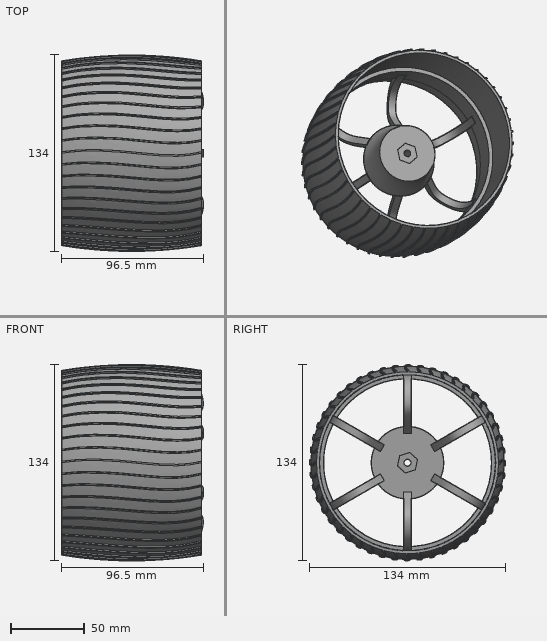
import cadquery as cq
import math


tyre_width = 95.3
tyre_bore_diameter = 120.0
crown_radius = 67.0
shoulder_radius = 63.0
tread_count = 48
tread_height = 1.0
tread_width = 1.0
tread_end_shift = 0.5
tread_crest = 2.0
tread_trough = -1.6
tread_crest_x = -tyre_width / 4
tread_trough_x = 0.28 * tyre_width

rim_start = 0.4
rim_width = 24.9
rim_end = rim_start + rim_width
rim_diameter = 119.8
rim_inner_diameter = 114.4
hub_radius = 24.8
hub_face_radius = 19.4
spoke_count = 6
spoke_width = 5.2
spoke_thickness = 4.0
spoke_bow_radius = 40.2
spoke_hub_angle = 28.0
spoke_rim_step = 0.3
spoke_hub_step = 0.4
spoke_hub_depth = 5.4
spoke_overhang = 1.2
spoke_root_x = rim_start + rim_width / 2

hex_corner_diameter = 14.3
hex_tilt = 12.0
axle_diameter = 4.5


def barrel(radius_offset):
    """Solid barrel of the tyre's width, its radius changed by radius_offset."""
    half_width = tyre_width / 2
    end_radius = shoulder_radius + radius_offset
    return (
        cq.Workplane("XY")
        .moveTo(-half_width, 0)
        .lineTo(-half_width, end_radius)
        .threePointArc((0, crown_radius + radius_offset), (half_width, end_radius))
        .lineTo(half_width, 0)
        .close()
        .revolve(360, (0, 0, 0), (1, 0, 0))
    )


def x_cylinder(diameter, start, length):
    """Cylinder along X from start."""
    return cq.Workplane("YZ", origin=(start, 0, 0)).circle(diameter / 2).extrude(length)


def make_tread_rib():
    """One rib on the +Z side: a wavy wall trimmed to the barrel."""
    half_width = tyre_width / 2
    wave = [
        (-half_width, tread_end_shift),
        (tread_crest_x, tread_crest),
        (0, tread_end_shift),
        (tread_trough_x, tread_trough),
        (half_width, tread_end_shift),
    ]
    near_side = [(x, y - tread_width / 2) for x, y in wave]
    far_side = [(x, y + tread_width / 2) for x, y in reversed(wave)]
    bore_radius = tyre_bore_diameter / 2
    wall = (
        cq.Workplane("XY", origin=(0, 0, bore_radius + tread_height))
        .moveTo(*near_side[0])
        .spline(near_side[1:], includeCurrent=True)
        .lineTo(*far_side[0])
        .spline(far_side[1:], includeCurrent=True)
        .close()
        .extrude(crown_radius - bore_radius)
    )
    return wall.intersect(barrel(0))


def make_tyre():
    sleeve = barrel(-tread_height).cut(x_cylinder(tyre_bore_diameter, -tyre_width / 2, tyre_width))
    rib = make_tread_rib().val()
    ribs = [
        rib.rotate(cq.Vector(0, 0, 0), cq.Vector(1, 0, 0), index * 360 / tread_count)
        for index in range(tread_count)
    ]
    return cq.Workplane(sleeve.val().fuse(*ribs).clean())


def make_rim():
    ring = x_cylinder(rim_diameter, rim_start, rim_width)
    return ring.cut(x_cylinder(rim_inner_diameter, rim_start, rim_width))


def make_hub():
    """Hub flaring along an arc from its small -X face; the arc starts parallel to X."""
    flare = hub_radius - hub_face_radius
    flare_arc_radius = (rim_width**2 + flare**2) / (2 * flare)
    return (
        cq.Workplane("XY")
        .moveTo(rim_start, 0)
        .lineTo(rim_start, hub_face_radius)
        .radiusArc((rim_end, hub_radius), -flare_arc_radius)
        .lineTo(rim_end, 0)
        .close()
        .revolve(360, (0, 0, 0), (1, 0, 0))
    )


def make_spoke():
    """Spoke on the +Z side: a strip from inside the hub, round past the tyre's end, to the rim."""
    bow_x = tyre_width / 2 + spoke_overhang - spoke_thickness
    hub_edge = cq.Vector(rim_end, 0, hub_radius - spoke_hub_step)
    bow = cq.Vector(bow_x, 0, spoke_bow_radius)
    rim_root = cq.Vector(spoke_root_x, 0, rim_inner_diameter / 2 - spoke_rim_step)
    slope = math.radians(spoke_hub_angle)
    hub_direction = cq.Vector(math.cos(slope), 0, math.sin(slope))
    spoke_start = hub_edge - hub_direction * spoke_hub_depth
    concave_edge = cq.Wire.assembleEdges([
        cq.Edge.makeLine(spoke_start, hub_edge),
        cq.Edge.makeSpline(
            [hub_edge, bow, rim_root],
            tangents=[hub_direction, cq.Vector(0, 0, 1), cq.Vector(-1, 0, 0)],
        ),
    ])
    start_plane = cq.Plane(origin=spoke_start, xDir=(0, 1, 0), normal=hub_direction)
    return (
        cq.Workplane(start_plane)
        .center(0, -spoke_thickness / 2)
        .rect(spoke_width, spoke_thickness)
        .sweep(cq.Workplane(concave_edge))
    )


def hex_prism():
    """Hexagonal prism through the hub."""
    return (
        cq.Workplane("YZ", origin=(rim_start, 0, 0))
        .transformed(rotate=(0, 0, 90 - hex_tilt))
        .polygon(6, hex_corner_diameter)
        .extrude(rim_width)
    )


def make_wheel():
    wheel = make_rim().union(make_hub())
    spoke = make_spoke()
    for index in range(spoke_count):
        wheel = wheel.union(spoke.rotate((0, 0, 0), (1, 0, 0), index * 360 / spoke_count))
    envelope = x_cylinder(rim_diameter, rim_start, tyre_width)
    return wheel.intersect(envelope).cut(hex_prism())


def make_hex_insert():
    return hex_prism().cut(x_cylinder(axle_diameter, rim_start, rim_width))


tyre = make_tyre()
wheel = make_wheel()
hex_insert = make_hex_insert()

result = cq.Compound.makeCompound([tyre.val(), wheel.val(), hex_insert.val()])